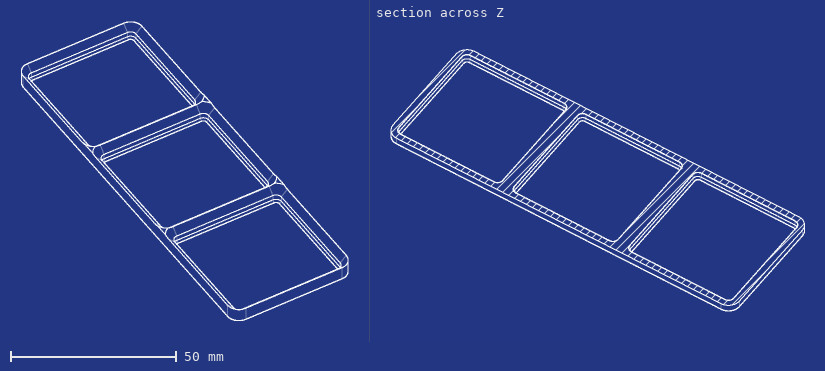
import cadquery as cq

pitch = 42.0
columns = 3
corner_radius = 4.0
height = 5.0

lower_slope = 0.7
upright_band = 1.8
upper_slope = 2.15
rim_height = lower_slope + upright_band + upper_slope
floor_inset = lower_slope + upper_slope
above_rim = height - rim_height

overcut = 1.0


def rounded_square(inset, z):
    """Sketch of a cell outline moved inward by inset, at height z."""
    side = pitch - 2 * inset
    return (
        cq.Sketch()
        .rect(side, side)
        .vertices()
        .fillet(corner_radius - inset)
        .moved(cq.Location(cq.Vector(0, 0, z)))
    )


def socket_layer(bottom_inset, top_inset, bottom, top):
    """Slice of the socket running from one outline to another."""
    return cq.Workplane("XY").placeSketch(
        rounded_square(bottom_inset, bottom),
        rounded_square(top_inset, top),
    ).loft(ruled=True)


def make_socket():
    """Through opening of one cell; the upper slope carries on past the rim to the top."""
    band_bottom = lower_slope
    band_top = lower_slope + upright_band
    opening = socket_layer(floor_inset, floor_inset, -overcut, 0)
    lower = socket_layer(floor_inset, upper_slope, 0, band_bottom)
    band = socket_layer(upper_slope, upper_slope, band_bottom, band_top)
    upper = socket_layer(upper_slope, -above_rim, band_top, height)
    return opening.union(lower).union(band).union(upper)


def make_blank():
    """Rounded slab that covers the whole grid."""
    return (
        cq.Workplane("XY")
        .box(columns * pitch, pitch, height, centered=(True, True, False))
        .edges("|Z")
        .fillet(corner_radius)
    )


result = make_blank()
socket = make_socket()
for column in range(columns):
    offset = (column - (columns - 1) / 2) * pitch
    result = result.cut(socket.translate((offset, 0, 0)))